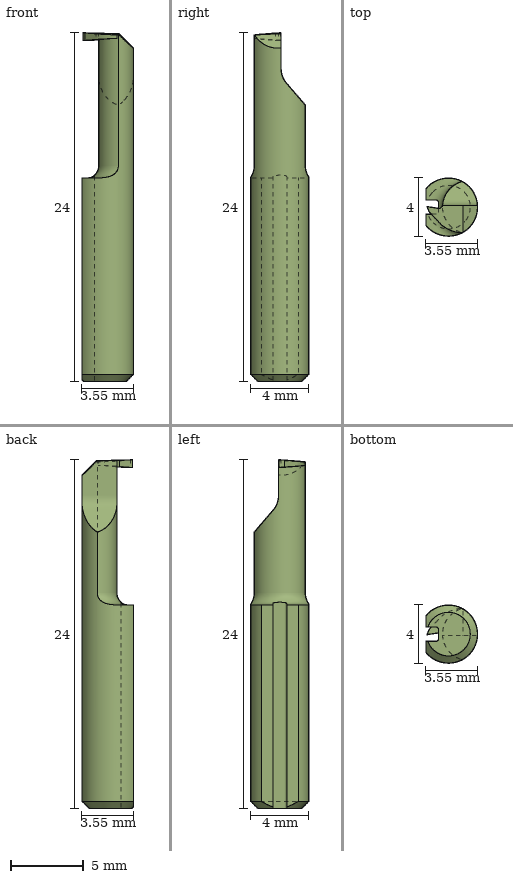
import cadquery as cq
import math

length = 24.0
shank_diameter = 4.0
shank_radius = shank_diameter / 2
overall_width = 3.55
flat_x = shank_radius - overall_width
shank_height = 14.02
end_chamfer = 0.5

slot_width = 0.95
slot_floor_x = -0.7
slot_corner_radius = 0.15

neck_left_x = -0.4
neck_radius = 1.82
neck_center_x = neck_left_x + neck_radius
shoulder_radius = 0.8

rake_y = 0.1
relief_corner_z = 20.95
relief_angle = 40.7
relief_blend_radius = 1.5

blade_thickness = 0.55
tip_x = -1.5
tip_y = 0.05
back_chamfer_x = 1.03
back_chamfer_drop = 0.1
clearance_x = 0.03
clearance_y = 0.05
block_size = 9.6


def make_shank():
    shank = cq.Workplane("XY").circle(shank_radius).extrude(shank_height)
    return shank.faces("<Z").chamfer(end_chamfer)


def make_neck():
    """Neck and concave shoulder, kept inside the shank cylinder."""
    shoulder_top = shank_height + shoulder_radius
    foot_radius = neck_radius + shoulder_radius
    arc_offset = shoulder_radius * (1 - math.sqrt(0.5))
    profile = (
        cq.Workplane("XZ")
        .moveTo(0, shank_height)
        .lineTo(foot_radius, shank_height)
        .threePointArc(
            (neck_radius + arc_offset, shank_height + arc_offset),
            (neck_radius, shoulder_top),
        )
        .lineTo(neck_radius, length)
        .lineTo(0, length)
        .close()
    )
    neck = profile.revolve(360, (0, 0, 0), (0, 1, 0)).translate((neck_center_x, 0, 0))
    envelope = cq.Workplane("XY").circle(shank_radius).extrude(length)
    return neck.intersect(envelope)


def make_chip_relief():
    """Material removed above the sloped run-out, up to the rake plane."""
    outer_y = shank_diameter
    slope_bottom = relief_corner_z - (outer_y - rake_y) / math.tan(math.radians(relief_angle))
    top_z = length + blade_thickness
    relief = (
        cq.Workplane("YZ")
        .polyline([(rake_y, relief_corner_z), (outer_y, slope_bottom), (outer_y, top_z), (rake_y, top_z)])
        .close()
        .extrude(shank_radius * 2, both=True)
    )
    corner_edge = cq.selectors.NearestToPointSelector((0, rake_y, relief_corner_z))
    return relief.edges(corner_edge).fillet(relief_blend_radius)


def half_space(origin, normal):
    """Large block on the side of a plane that its normal points to."""
    plane = cq.Plane(origin=origin, normal=normal)
    return cq.Workplane(plane).rect(block_size, block_size).extrude(block_size)


def make_blade():
    """Hooked cutting blade with a hollow rake face and a curved flank."""
    land_end = (-1.35, -0.3)
    flank_end = (-0.45, -1.25)
    flank_middle = (0.17, -1.6)
    heel = (0.86, -1.78)
    rake_hollow = (-0.58, -0.1)
    blade = (
        cq.Workplane("XY", origin=(0, 0, length - blade_thickness))
        .moveTo(tip_x, tip_y)
        .lineTo(*land_end)
        .lineTo(*flank_end)
        .threePointArc(flank_middle, heel)
        .lineTo(heel[0], rake_y)
        .lineTo(neck_left_x, rake_y)
        .lineTo(*rake_hollow)
        .close()
        .extrude(blade_thickness)
    )
    underside = half_space(
        (tip_x, tip_y, length - blade_thickness), (clearance_x, -clearance_y, -1))
    return blade.cut(underside)


def make_slot():
    slot_height = shank_height + shoulder_radius
    slot_depth = slot_floor_x + shank_radius
    slot = cq.Workplane("XY").box(slot_depth, slot_width, slot_height, centered=(False, True, False))
    slot = slot.edges("|Z and >X").fillet(slot_corner_radius)
    return slot.translate((-shank_radius, 0, 0))


def make_flat():
    flat = cq.Workplane("XY").box(shank_radius, shank_diameter, length, centered=(False, True, False))
    return flat.translate((flat_x - shank_radius, 0, 0))


end_face = half_space((tip_x, tip_y, length), (clearance_x, -clearance_y, 1))
back_chamfer = half_space((back_chamfer_x, 0, length - back_chamfer_drop), (1, -clearance_y, 1))

result = make_shank().cut(make_flat()).union(make_neck())
result = result.cut(make_slot()).cut(make_chip_relief()).union(make_blade())
result = result.cut(end_face).cut(back_chamfer)